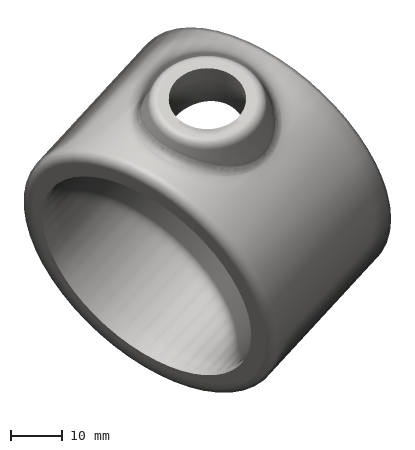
import cadquery as cq
import math

ring_diameter = 61.0
ring_width = 40.0
bore_diameter = 50.05
edge_radius = 2.0

overall_height = 65.5
boss_top_radius = 11.0
boss_draft = 20.0
boss_hole_diameter = 15.0
seam_radius = 2.0

ring_radius = ring_diameter / 2
boss_top = overall_height - ring_radius
boss_base = bore_diameter / 4
boss_base_radius = boss_top_radius + (boss_top - boss_base) * math.tan(math.radians(boss_draft))


def cylinder_along_y(diameter):
    end_plane = cq.Workplane("XZ", origin=(0, ring_width / 2, 0))
    return end_plane.circle(diameter / 2).extrude(ring_width)


def tapered_boss():
    """Cone widening downwards, with a rounded top rim."""
    cone = cq.Workplane(
        cq.Solid.makeCone(
            boss_base_radius,
            boss_top_radius,
            boss_top - boss_base,
            pnt=cq.Vector(0, 0, boss_base),
        )
    )
    return cone.faces(">Z").edges().fillet(edge_radius)


ring = cylinder_along_y(ring_diameter).faces("<Y or >Y").edges().fillet(edge_radius)
body = ring.union(tapered_boss())

seam_zone = cq.selectors.BoxSelector(
    (-boss_base_radius, -boss_base_radius, boss_base),
    (boss_base_radius, boss_base_radius, ring_radius),
)
body = body.edges(seam_zone).fillet(seam_radius)

boss_hole = cq.Workplane("XY").circle(boss_hole_diameter / 2).extrude(boss_top)
result = body.cut(cylinder_along_y(bore_diameter)).cut(boss_hole)